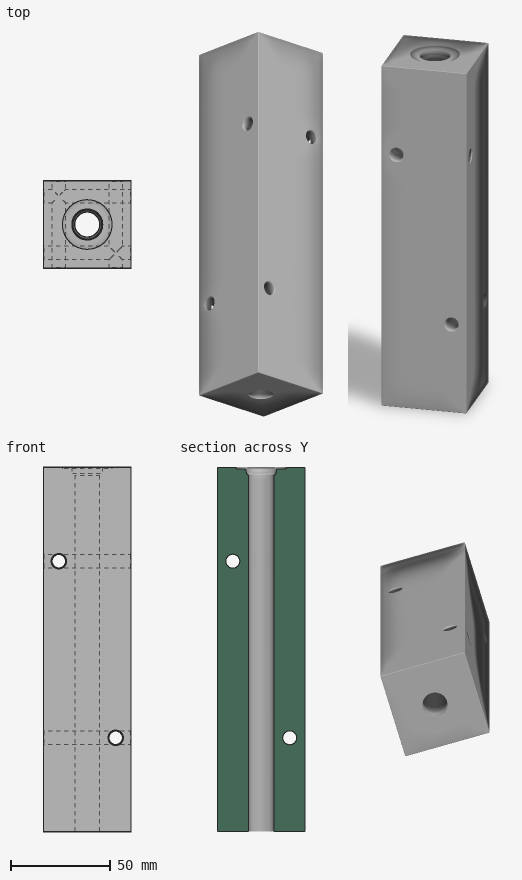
import cadquery as cq
import math

side = 44.4
height = 184.2
edge_chamfer = 0.2

spotface_diameter = 25.0
spotface_depth = 0.7
seat_diameter = 15.7
seat_depth = 2.4
seat_half_angle = 12.0
bore_diameter = 12.5
countersink_half_angle = 45.0

cross_diameter = 6.8
cross_chamfer = 0.46
cross_chamfer_angle = 45.0
cross_offset = 14.4
cross_level = 44.5


def port_cutter():
    """Revolved profile of the spotface, seat, countersink and bore."""
    top = height / 2
    seat_top = top - spotface_depth
    seat_bottom = seat_top - seat_depth
    spotface_radius = spotface_diameter / 2
    seat_top_radius = seat_diameter / 2
    seat_bottom_radius = seat_top_radius - seat_depth * math.tan(math.radians(seat_half_angle))
    bore_radius = bore_diameter / 2
    countersink_depth = (seat_bottom_radius - bore_radius) / math.tan(math.radians(countersink_half_angle))
    profile = [
        (0, top),
        (spotface_radius, top),
        (spotface_radius, seat_top),
        (seat_top_radius, seat_top),
        (seat_bottom_radius, seat_bottom),
        (bore_radius, seat_bottom - countersink_depth),
        (bore_radius, -height / 2),
        (0, -height / 2),
    ]
    return cq.Workplane("XZ").polyline(profile).close().revolve(360, (0, 0), (0, 1))


def cross_cutter(plane, centres):
    """Through holes normal to the given plane, flared at both faces of the block."""
    hole_radius = cross_diameter / 2
    holes = cq.Workplane(plane).pushPoints(centres).circle(hole_radius).extrude(side / 2, both=True)
    for end in (-1, 1):
        mouths = (
            cq.Workplane(plane)
            .workplane(offset=end * side / 2)
            .pushPoints(centres)
            .circle(hole_radius + cross_chamfer)
            .extrude(-end * cross_chamfer, taper=cross_chamfer_angle)
        )
        holes = holes.union(mouths)
    return holes


block = cq.Workplane("XY").box(side, side, height).edges().chamfer(edge_chamfer)

result = (
    block.cut(port_cutter())
    .cut(cross_cutter("XZ", [(-cross_offset, cross_level), (cross_offset, -cross_level)]))
    .cut(cross_cutter("YZ", [(cross_offset, cross_level), (-cross_offset, -cross_level)]))
)